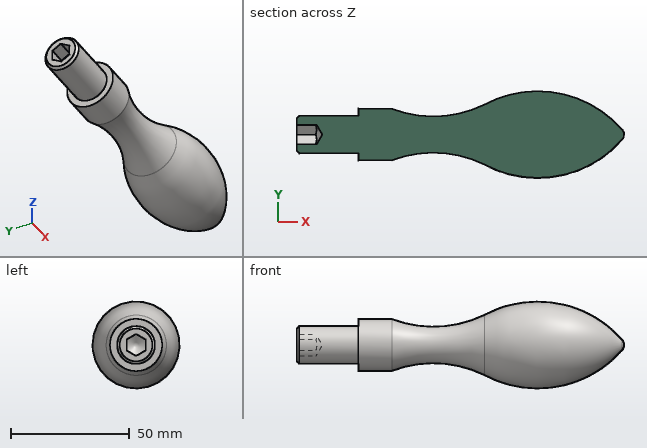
import cadquery as cq
import math

total_length = 138.0

shank_diameter = 16.0
shank_length = 26.0
shank_chamfer = 1.1

collar_diameter = 22.0
collar_length = 14.0

waist_radius = 7.75
waist_x = 57.0
bulb_start_x = 79.0
bulb_start_radius = 12.7
bulb_radius = 18.4
bulb_widest_x = 101.5
tip_start_x = 136.9
tip_start_radius = 2.4

hex_across_flats = 8.0
hex_depth = 8.0
drill_point_angle = 120.0


def tip_midpoint():
    """Point halfway along the tip arc, which is centred on the handle axis."""
    tip_height = total_length - tip_start_x
    sphere_radius = (tip_start_radius**2 + tip_height**2) / (2 * tip_height)
    half_angle = math.asin(tip_start_radius / sphere_radius) / 2
    centre_x = total_length - sphere_radius
    return (
        centre_x + sphere_radius * math.cos(half_angle),
        sphere_radius * math.sin(half_angle),
    )


def make_body():
    """Shank, collar, neck and bulb revolved as one profile."""
    shank_radius = shank_diameter / 2
    collar_radius = collar_diameter / 2
    collar_end_x = shank_length + collar_length
    return (
        cq.Workplane("XY")
        .moveTo(0, 0)
        .lineTo(0, shank_radius - shank_chamfer)
        .lineTo(shank_chamfer, shank_radius)
        .lineTo(shank_length, shank_radius)
        .lineTo(shank_length, collar_radius)
        .lineTo(collar_end_x, collar_radius)
        .threePointArc((waist_x, waist_radius), (bulb_start_x, bulb_start_radius))
        .threePointArc((bulb_widest_x, bulb_radius), (tip_start_x, tip_start_radius))
        .threePointArc(tip_midpoint(), (total_length, 0))
        .close()
        .revolve(360, (0, 0, 0), (1, 0, 0))
    )


def make_hex_socket():
    """Hexagonal socket, corners up and down, ending in a conical floor."""
    corner_radius = hex_across_flats / math.sqrt(3)
    cone_depth = corner_radius / math.tan(math.radians(drill_point_angle / 2))
    socket_depth = hex_depth + cone_depth
    hexagon = (
        cq.Workplane("YZ")
        .polygon(6, 2 * corner_radius)
        .extrude(socket_depth)
        .rotate((0, 0, 0), (1, 0, 0), 90)
    )
    pointed_bore = (
        cq.Workplane("XY")
        .moveTo(0, 0)
        .lineTo(0, corner_radius)
        .lineTo(hex_depth, corner_radius)
        .lineTo(socket_depth, 0)
        .close()
        .revolve(360, (0, 0, 0), (1, 0, 0))
    )
    return hexagon.intersect(pointed_bore)


result = make_body().cut(make_hex_socket())